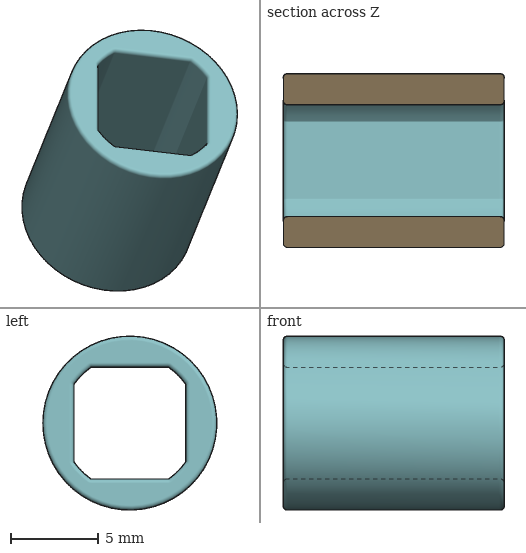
import cadquery as cq

length = 12.7
outer_diameter = 10.0
bore_width = 6.4
bore_corner_diameter = 7.8
bore_edge_radius = 0.1
end_radius = 0.25

end_plane = cq.Workplane("YZ", origin=(-length / 2, 0, 0))


def sleeve_body():
    """Solid cylinder with rounded rims at both ends."""
    cylinder = end_plane.circle(outer_diameter / 2).extrude(length)
    return cylinder.edges("%CIRCLE").fillet(end_radius)


def bore_prism():
    """Square prism trimmed by a cylinder, with softened lengthwise edges."""
    square = end_plane.rect(bore_width, bore_width).extrude(length)
    corner_cylinder = end_plane.circle(bore_corner_diameter / 2).extrude(length)
    return square.intersect(corner_cylinder).edges("|X").fillet(bore_edge_radius)


def cut_bore(body):
    """Cut the bore through the body and round its mouth at both ends."""
    bored = body.cut(bore_prism())
    mouth_reach = bore_corner_diameter / 2
    mouth_box = cq.selectors.BoxSelector(
        (-length, -mouth_reach, -mouth_reach),
        (length, mouth_reach, mouth_reach),
        boundingbox=True,
    )
    return bored.faces("<X or >X").edges(mouth_box).fillet(end_radius)


result = cut_bore(sleeve_body())